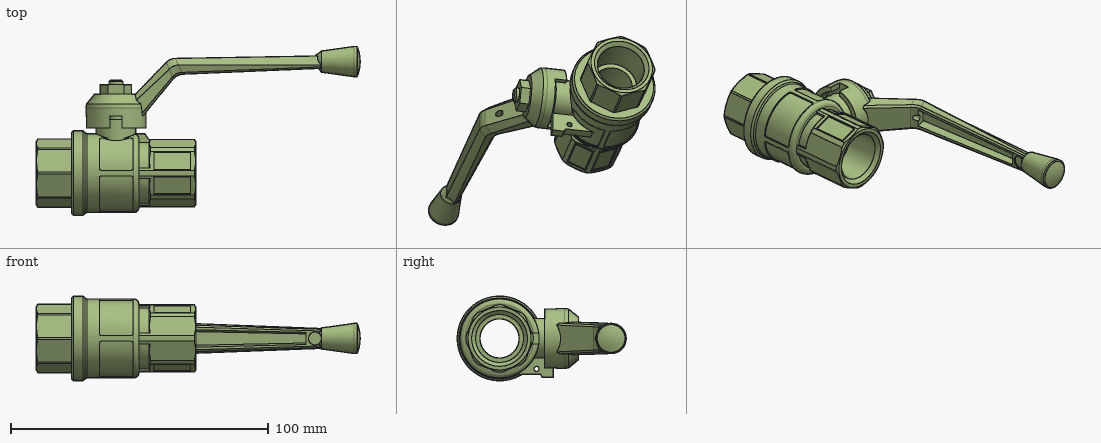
import cadquery as cq
import math


BODY_LENGTH = 62.1
FLATS = 25.0
FLANGE_START = 13.7
FLANGE_END = 19.0
FLANGE_RADIUS = 16.5
FLANGE_CHAMFER = 0.8
BARREL_START = 19.8
BARREL_END = 40.0
BARREL_RADIUS = 15.4
BARREL_ROUND = 2.0
RIGHT_END_RADIUS = 13.1
LEFT_END_RADIUS = 13.4
END_CHAMFER = 0.6
END_FACE_RADIUS = 12.2

GROOVE_RADIUS = 12.1
GROOVE_END = 43.8
GROOVE_FLARE = 0.6
RIB_WIDTH = 4.2
STOP_HEIGHT = 15.4
STOP_TOP_END = 42.2
STOP_END = 44.5

PANEL_START = 24.6
PANEL_END = 37.7
PANEL_DEPTH = 0.5
PANEL_GAP = 2.1
PANEL_CORNER = 0.9
STEM_SIDE_LIMIT = 13.6
POCKET_START = 45.9
POCKET_END = 60.0
POCKET_WIDTH = 7.2
POCKET_DEPTH = 0.4

BORE_RADIUS = 7.5
SOCKET_RADIUS = 9.3
SOCKET_DEPTH = 15.1
MOUTH_RADIUS = 10.8
MOUTH_DEPTH = 1.5

STEM_X = 31.0
NECK_RADIUS = 7.8
NECK_ROOT = SOCKET_RADIUS
NECK_TOP = 20.9
LUG_THICKNESS = 4.2
LUG_BOTTOM = 15.1
LUG_STEP = 1.1
LUG_STEP_Y = 16.5
LUG_HOLE_Y = 14.4
LUG_HOLE_Z = -11.8
LUG_HOLE_DIAMETER = 1.9
CAP_RADIUS = 11.7
CAP_BOTTOM = 17.5
CAP_SHOULDER = 25.3
CAP_BREAK = 26.8
CAP_BREAK_RADIUS = 11.5
CAP_TOP = 30.7
CAP_TOP_RADIUS = 8.3
CAP_CEILING = 22.2
SKIRT_INNER_RADIUS = 9.6
SLOT_WIDTH = 4.7
NUT_FLATS = 10.6
NUT_TOP = 34.4
STEM_TIP_RADIUS = 2.8
STEM_TIP = 36.2
STEM_TIP_CHAMFER = 0.6

HUB_BACK = (36.5, 28.6)
HUB_BELLY = (40.3, 20.8)
BEND_BACK = (52.0, 44.6)
BEND_BELLY = (54.7, 38.3)
TIP_BACK = (110.9, 45.6)
TIP_BELLY = (110.9, 40.7)
BEND_STEPS = 4
BEND_BACK_RADIUS = 5.0
BEND_BELLY_RADIUS = 5.0
HUB_SHOULDER = 0.22
BEND_SHOULDER = 0.42
TIP_SHOULDER = 0.72
FLANK_FRACTION = 0.88
HUB_HALF_WIDTHS = (4.0, 6.4, 6.0, 5.3)
BEND_HALF_WIDTHS = (3.5, 6.0, 5.3, 4.5)
TIP_HALF_WIDTHS = (2.3, 3.9, 3.5, 2.9)

CHANNEL_START_FLOOR = (54.9, 41.8)
CHANNEL_START_MOUTH = (56.0, 37.2)
CHANNEL_START_HALF_WIDTHS = (2.8, 3.8)
CHANNEL_END_FLOOR = (105.0, 43.3)
CHANNEL_END_MOUTH = (105.0, 39.7)
CHANNEL_END_HALF_WIDTHS = (1.8, 2.5)

VENT_Y = 38.4
VENT_DIAMETER = 2.5
VENT_START = 45.4
VENT_LENGTH = 11.3

GRIP_Y = 43.3
GRIP_TIP_X = 108.4
GRIP_TIP_RADIUS = 2.3
GRIP_NECK_X = 110.9
GRIP_NECK_RADIUS = 4.2
GRIP_RADIUS = 5.9
GRIP_RIM_START = 123.5
GRIP_RIM_END = 124.6
GRIP_FACE_START = 125.0
GRIP_FACE_RADIUS = 5.4
OVERALL_LENGTH = 126.0
SEAT_X = 108.4
SEAT_Y = 41.1
SEAT_RADIUS = 2.5


def revolve_x(points):
    """Turn an (x, radius) outline around the pipe axis."""
    return cq.Workplane("XY").polyline(points).close().revolve(360, (0, 0, 0), (1, 0, 0))


def rod_y(radius, start, end):
    """Cylinder on the stem axis between two heights."""
    plane = cq.Workplane("XZ", origin=(STEM_X, end, 0))
    return plane.circle(radius).extrude(end - start)


def box(x_range, y_range, z_range):
    """Box given by its limits on each axis."""
    size = [high - low for low, high in (x_range, y_range, z_range)]
    corner = (x_range[0], y_range[0], z_range[0])
    return cq.Workplane("XY").box(*size, centered=False).translate(corner)


def octagon(start, end):
    """Octagonal bar with corners on the Y and Z directions."""
    corner_diameter = FLATS / math.cos(math.pi / 8)
    plane = cq.Workplane("YZ", origin=(start, 0, 0))
    return plane.polygon(8, corner_diameter).extrude(end - start)


def trimming_blank(face, inner, radius):
    """Cylinder from `inner` to `face`, chamfered at `face`, that trims octagon corners."""
    shoulder = face + math.copysign(END_CHAMFER, inner - face)
    return revolve_x([
        (inner, 0),
        (inner, radius),
        (shoulder, radius),
        (face, END_FACE_RADIUS),
        (face, 0),
    ])


def make_pipe_ends():
    left = octagon(0, FLANGE_START)
    left = left.intersect(trimming_blank(0, FLANGE_START, LEFT_END_RADIUS))
    right = octagon(BARREL_END, BODY_LENGTH)
    right = right.intersect(trimming_blank(BODY_LENGTH, BARREL_END, RIGHT_END_RADIUS))
    return left, right


def make_barrel():
    round_mid = BARREL_ROUND * math.sqrt(0.5)
    outline = (
        cq.Workplane("XY")
        .moveTo(FLANGE_START, 0)
        .lineTo(FLANGE_START, FLANGE_RADIUS - FLANGE_CHAMFER)
        .lineTo(FLANGE_START + FLANGE_CHAMFER, FLANGE_RADIUS)
        .lineTo(FLANGE_END - FLANGE_CHAMFER, FLANGE_RADIUS)
        .lineTo(FLANGE_END, FLANGE_RADIUS - FLANGE_CHAMFER)
        .lineTo(BARREL_START, BARREL_RADIUS)
        .lineTo(BARREL_END - BARREL_ROUND, BARREL_RADIUS)
        .threePointArc(
            (BARREL_END - BARREL_ROUND + round_mid, BARREL_RADIUS - BARREL_ROUND + round_mid),
            (BARREL_END, BARREL_RADIUS - BARREL_ROUND),
        )
        .lineTo(BARREL_END, 0)
        .close()
    )
    return outline.revolve(360, (0, 0, 0), (1, 0, 0))


def make_groove():
    """Ring groove after the barrel, interrupted by four ribs."""
    outer = FLANGE_RADIUS
    flare = outer - GROOVE_RADIUS
    ring = revolve_x([
        (BARREL_END, GROOVE_RADIUS),
        (GROOVE_END, GROOVE_RADIUS),
        (GROOVE_END + GROOVE_FLARE * flare, outer),
        (BARREL_END, outer),
    ])
    half = RIB_WIDTH / 2
    x_range = (BARREL_END, BODY_LENGTH)
    ring = ring.cut(box(x_range, (-half, half), (-outer, outer)))
    return ring.cut(box(x_range, (-outer, outer), (-half, half)))


def make_stop():
    """Raised rib beside the stem with a sloped end."""
    start = BARREL_END - BARREL_ROUND
    return (
        cq.Workplane("XY")
        .moveTo(start, GROOVE_RADIUS)
        .lineTo(start, STOP_HEIGHT)
        .lineTo(STOP_TOP_END, STOP_HEIGHT)
        .lineTo(STOP_END, GROOVE_RADIUS)
        .close()
        .extrude(RIB_WIDTH / 2, both=True)
    )


def make_panels():
    """Shallow quadrant recesses in the barrel."""
    outer = BARREL_RADIUS + PANEL_DEPTH
    x_range = (PANEL_START, PANEL_END)
    ring = revolve_x([
        (PANEL_START, BARREL_RADIUS - PANEL_DEPTH),
        (PANEL_END, BARREL_RADIUS - PANEL_DEPTH),
        (PANEL_END, outer),
        (PANEL_START, outer),
    ])
    gap = PANEL_GAP / 2
    panels = cq.Workplane("XY")
    for y_range in ((-outer, -gap), (gap, STEM_SIDE_LIMIT)):
        for z_range in ((-outer, -gap), (gap, outer)):
            window = box(x_range, y_range, z_range)
            rounded_y = window.edges("|Y").fillet(PANEL_CORNER)
            rounded_z = window.edges("|Z").fillet(PANEL_CORNER)
            panels = panels.add(ring.intersect(rounded_y).intersect(rounded_z))
    return panels.combine()


def make_pockets():
    """Shallow rectangular pockets on the upper and lower flats of the right end."""
    length = POCKET_END - POCKET_START
    pocket = cq.Workplane("XY").box(length, POCKET_WIDTH, 2 * POCKET_DEPTH)
    pocket = pocket.translate((POCKET_START + length / 2, 0, FLATS / 2))
    pockets = cq.Workplane("XY")
    half_step = 360 / 8 / 2
    for angle in (-half_step, half_step, 180 - half_step, 180 + half_step):
        pockets = pockets.add(pocket.rotate((0, 0, 0), (1, 0, 0), angle))
    return pockets.combine()


def make_bore():
    return revolve_x([
        (0, 0),
        (0, MOUTH_RADIUS),
        (MOUTH_DEPTH, SOCKET_RADIUS),
        (SOCKET_DEPTH, SOCKET_RADIUS),
        (SOCKET_DEPTH, BORE_RADIUS),
        (BODY_LENGTH - SOCKET_DEPTH, BORE_RADIUS),
        (BODY_LENGTH - SOCKET_DEPTH, SOCKET_RADIUS),
        (BODY_LENGTH - MOUTH_DEPTH, SOCKET_RADIUS),
        (BODY_LENGTH, MOUTH_RADIUS),
        (BODY_LENGTH, 0),
    ])


def make_lug():
    """Padlock lug beneath the stem neck, with one hole along X."""
    step_z = -LUG_BOTTOM + LUG_STEP
    plane = cq.Workplane("YZ", origin=(STEM_X - LUG_THICKNESS / 2, 0, 0))
    lug = (
        plane
        .moveTo(NECK_ROOT, 0)
        .lineTo(NECK_TOP, 0)
        .lineTo(NECK_TOP, -LUG_BOTTOM)
        .lineTo(LUG_STEP_Y, -LUG_BOTTOM)
        .lineTo(LUG_STEP_Y - LUG_STEP / 2, step_z)
        .lineTo(0, step_z)
        .lineTo(0, -GROOVE_RADIUS)
        .close()
        .extrude(LUG_THICKNESS)
    )
    hole = plane.center(LUG_HOLE_Y, LUG_HOLE_Z).circle(LUG_HOLE_DIAMETER / 2).extrude(LUG_THICKNESS)
    return lug.cut(hole)


def make_cap():
    """Lever hub: cone-topped cap with a hollow skirt cut away around the lug."""
    cap = (
        cq.Workplane("XY")
        .polyline([
            (STEM_X, CAP_BOTTOM),
            (STEM_X + CAP_RADIUS, CAP_BOTTOM),
            (STEM_X + CAP_RADIUS, CAP_SHOULDER),
            (STEM_X + CAP_BREAK_RADIUS, CAP_BREAK),
            (STEM_X + CAP_TOP_RADIUS, CAP_TOP),
            (STEM_X, CAP_TOP),
        ])
        .close()
        .revolve(360, (STEM_X, 0, 0), (STEM_X, 1, 0))
    )
    half = SLOT_WIDTH / 2
    reach = CAP_RADIUS + half
    y_range = (CAP_BOTTOM, CAP_CEILING)
    swing = box((STEM_X - reach, STEM_X + half), y_range, (-reach, half))
    slot = box((STEM_X - half, STEM_X + half), y_range, (0, reach))
    skirt_bore = rod_y(SKIRT_INNER_RADIUS, CAP_BOTTOM, CAP_CEILING)
    return cap.cut(skirt_bore).cut(swing).cut(slot)


def make_stem():
    neck = rod_y(NECK_RADIUS, NECK_ROOT, NECK_TOP)
    spindle = rod_y(STEM_TIP_RADIUS, NECK_TOP, STEM_TIP).faces(">Y").chamfer(STEM_TIP_CHAMFER)
    nut_plane = cq.Workplane("XZ", origin=(STEM_X, NUT_TOP, 0))
    nut = nut_plane.polygon(6, NUT_FLATS / math.cos(math.pi / 6)).extrude(NUT_TOP - CAP_TOP)
    return neck.union(spindle).union(nut)


def mirrored_section(points, half_widths):
    """Closed section wire, symmetric about Z = 0."""
    near = [cq.Vector(x, y, width) for (x, y), width in zip(points, half_widths)]
    far = [cq.Vector(x, y, -width) for (x, y), width in zip(points, half_widths)]
    return cq.Wire.makePolygon(near + far[::-1], close=True)


def loft(sections, ruled):
    """Solid through section wires, with flat-sided or smooth walls."""
    return cq.Workplane("XY").add(cq.Solid.makeLoft(sections, ruled))


def rounded_corner(before, corner, after, radius, fraction):
    """Point at a fraction of the way round the arc that rounds a clockwise corner."""
    start_angle = math.atan2(corner[1] - before[1], corner[0] - before[0])
    end_angle = math.atan2(after[1] - corner[1], after[0] - corner[0])
    setback = radius * math.tan((start_angle - end_angle) / 2)
    center_x = corner[0] - setback * math.cos(start_angle) + radius * math.sin(start_angle)
    center_y = corner[1] - setback * math.sin(start_angle) - radius * math.cos(start_angle)
    angle = start_angle + fraction * (end_angle - start_angle)
    return center_x - radius * math.sin(angle), center_y + radius * math.cos(angle)


def arm_section(back, belly, shoulder_fraction, half_widths):
    """Eight-sided arm section through back, shoulder, flank and belly.

    The shoulder is the widest place; the flank is where the belly bevel starts.
    """
    def between(fraction):
        return tuple(start + fraction * (end - start) for start, end in zip(back, belly))

    points = [back, between(shoulder_fraction), between(FLANK_FRACTION), belly]
    return mirrored_section(points, half_widths)


def make_arm():
    """Cranked, tapering lever arm with a channel along its belly."""
    hub = arm_section(HUB_BACK, HUB_BELLY, HUB_SHOULDER, HUB_HALF_WIDTHS)
    tip = arm_section(TIP_BACK, TIP_BELLY, TIP_SHOULDER, TIP_HALF_WIDTHS)
    bend = []
    for step in range(BEND_STEPS + 1):
        fraction = step / BEND_STEPS
        back = rounded_corner(HUB_BACK, BEND_BACK, TIP_BACK, BEND_BACK_RADIUS, fraction)
        belly = rounded_corner(HUB_BELLY, BEND_BELLY, TIP_BELLY, BEND_BELLY_RADIUS, fraction)
        bend.append(arm_section(back, belly, BEND_SHOULDER, BEND_HALF_WIDTHS))
    arm = loft([hub, bend[0]], True)
    arm = arm.union(loft(bend, False)).union(loft([bend[-1], tip], True))
    channel = loft([
        mirrored_section([CHANNEL_START_FLOOR, CHANNEL_START_MOUTH], CHANNEL_START_HALF_WIDTHS),
        mirrored_section([CHANNEL_END_FLOOR, CHANNEL_END_MOUTH], CHANNEL_END_HALF_WIDTHS),
    ], True)
    vent = cq.Workplane("YZ", origin=(VENT_START, VENT_Y, 0))
    vent = vent.circle(VENT_DIAMETER / 2).extrude(VENT_LENGTH)
    return arm.cut(channel).cut(vent)


def make_grip():
    """Flared grip with a domed end."""
    dome_height = OVERALL_LENGTH - GRIP_FACE_START
    dome_radius = (GRIP_FACE_RADIUS ** 2 + dome_height ** 2) / (2 * dome_height)
    half_angle = math.asin(GRIP_FACE_RADIUS / dome_radius) / 2
    dome_mid_x = OVERALL_LENGTH - dome_radius * (1 - math.cos(half_angle))
    dome_mid_radius = dome_radius * math.sin(half_angle)
    grip = (
        cq.Workplane("XY", origin=(0, GRIP_Y, 0))
        .moveTo(GRIP_TIP_X, 0)
        .lineTo(GRIP_TIP_X, GRIP_TIP_RADIUS)
        .lineTo(GRIP_NECK_X, GRIP_NECK_RADIUS)
        .lineTo(GRIP_RIM_START, GRIP_RADIUS)
        .lineTo(GRIP_RIM_END, GRIP_RADIUS)
        .lineTo(GRIP_FACE_START, GRIP_FACE_RADIUS)
        .threePointArc((dome_mid_x, dome_mid_radius), (OVERALL_LENGTH, 0))
        .close()
    )
    return grip.revolve(360, (0, 0, 0), (1, 0, 0))


def make_seat():
    """Round, flat-topped recess below the joint of arm and grip."""
    plane = cq.Workplane("XZ", origin=(SEAT_X, SEAT_Y, 0))
    return plane.circle(SEAT_RADIUS).extrude(GRIP_RADIUS)


left_end, right_end = make_pipe_ends()
body = make_barrel().union(left_end).union(right_end)
body = body.cut(make_groove()).cut(make_panels()).cut(make_pockets())
body = body.union(make_stop()).union(make_stem()).union(make_lug()).cut(make_bore())
lever = make_cap().union(make_arm()).union(make_grip()).cut(make_seat())
result = body.union(lever)